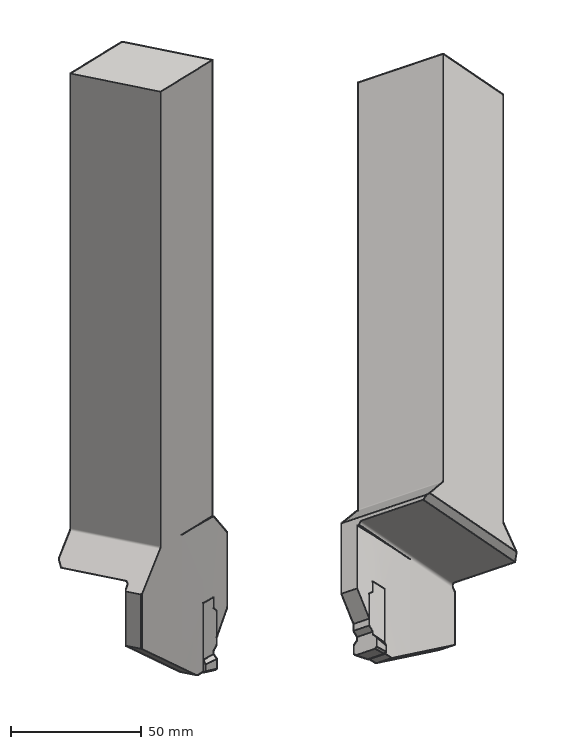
import cadquery as cq

shank_size = 40.0
total_height = 250.0
shank_bottom = 63.0
neck_radius = 1.2

front_overhang = 14.5
back_overhang = 9.8
head_front = -front_overhang
head_back = shank_size + back_overhang
front_corner_z = shank_bottom - front_overhang
back_corner_z = shank_bottom - back_overhang
front_lower_z = 26.2
back_lower_z = 22.5
tip_z = 1.5
tip_front_y = 28.0
ledge_z = 51.5
ledge_chamfer = 2.5
blade_root_radius = 1.5

blade_thickness = 7.5
blade_left = shank_size - blade_thickness
curve_start_y = 16.0
curve_offset = 1.0
front_chamfer = 0.5

insert_back = 40.0
insert_front = 32.5
insert_top = 29.8
bulge_depth = 2.2
bulge_back = insert_back + bulge_depth
bulge_top = 23.5
bulge_bottom = 9.5
bulge_slope_height = 1.8
cutting_right = 42.0
cutting_width = 10.8
cutting_center = cutting_right - cutting_width / 2
side_relief = 0.8
shoulder_top = 6.5
shoulder_bottom = 4.8
cutting_corner = 0.8
bottom_relief = 1.2


def side_prism(points, start_x, end_x):
    """Extrude a YZ outline along X."""
    outline = cq.Workplane("YZ", origin=(start_x, 0, 0)).polyline(points).close()
    return outline.extrude(end_x - start_x)


def plan_prism(left_x, left_offset):
    """Prism with a curved right side; its left side bends back by left_offset."""
    curve_length = head_back - curve_start_y
    middle_y = curve_start_y + curve_length / 2
    outline = (
        cq.Workplane("XY")
        .moveTo(left_x, head_front)
        .lineTo(shank_size, head_front)
        .lineTo(shank_size, curve_start_y)
        .threePointArc((shank_size + curve_offset / 4, middle_y), (shank_size + curve_offset, head_back))
        .lineTo(left_x + left_offset, head_back)
    )
    if left_offset:
        outline = outline.threePointArc((left_x + left_offset / 4, middle_y), (left_x, curve_start_y))
    return outline.close().extrude(shank_bottom)


def make_blade_stock():
    return plan_prism(blade_left, curve_offset)


def make_stem():
    """Bulged stem, flush with both sides of the blade."""
    outline = [
        (insert_front, tip_z),
        (insert_front, insert_top),
        (insert_back, insert_top),
        (insert_back, bulge_top + bulge_slope_height),
        (bulge_back, bulge_top),
        (bulge_back, bulge_bottom),
        (insert_back, bulge_bottom - bulge_slope_height),
        (insert_back, tip_z),
    ]
    return make_blade_stock().intersect(side_prism(outline, 0, cutting_right))


def make_cutting_head():
    """Flared cutting head, narrower and higher at its front end."""

    def section(y, half_width, bottom):
        neck = blade_thickness / 2
        half_outline = [
            (neck, shoulder_top),
            (half_width, shoulder_bottom),
            (half_width, bottom + cutting_corner),
            (half_width - cutting_corner, bottom),
        ]
        mirrored = [(-x, z) for x, z in reversed(half_outline)]
        points = [cq.Vector(cutting_center + x, y, z) for x, z in half_outline + mirrored]
        return cq.Wire.makePolygon(points, close=True)

    back = section(insert_back, cutting_width / 2, 0)
    front = section(insert_front, cutting_width / 2 - side_relief, bottom_relief)
    return cq.Workplane(obj=cq.Solid.makeLoft([back, front], True))


def make_insert():
    return make_stem().union(make_cutting_head())


def make_holder(insert):
    shank = cq.Workplane("XY", origin=(0, 0, shank_bottom)).rect(shank_size, shank_size, centered=False)
    shank = shank.extrude(total_height - shank_bottom)

    block = plan_prism(0, 0).intersect(
        cq.Workplane("XY")
        .box(2 * shank_size, head_back - head_front, shank_bottom - ledge_z, centered=False)
        .translate((0, head_front, ledge_z))
    )
    block = block.edges("<X and <Z").chamfer(ledge_chamfer)

    blade = make_blade_stock().faces("<Y").edges("|Z").chamfer(front_chamfer)

    root = (
        cq.Workplane("XZ", origin=(0, head_back, 0))
        .moveTo(blade_left - blade_root_radius, ledge_z)
        .radiusArc((blade_left, ledge_z - blade_root_radius), blade_root_radius)
        .lineTo(blade_left + curve_offset, ledge_z - blade_root_radius)
        .lineTo(blade_left + curve_offset, ledge_z)
        .close()
        .extrude(head_back - head_front)
    )

    head_outline = [
        (0, shank_bottom),
        (head_front, front_corner_z),
        (head_front, front_lower_z),
        (tip_front_y, tip_z),
        (insert_back, tip_z),
        (insert_back, bulge_bottom),
        (head_back, back_lower_z),
        (head_back, back_corner_z),
        (shank_size, shank_bottom),
    ]
    head = block.union(blade).union(root).intersect(side_prism(head_outline, 0, cutting_right))

    holder = shank.union(head)
    neck_edges = cq.selectors.BoxSelector(
        (0, -neck_radius, shank_bottom - neck_radius),
        (shank_size, shank_size + neck_radius, shank_bottom + neck_radius),
    )
    holder = holder.edges(neck_edges).edges("|X").fillet(neck_radius)
    return holder.cut(insert)


insert = make_insert()
holder = make_holder(insert)

result = cq.Compound.makeCompound([*holder.solids().vals(), *insert.solids().vals()])